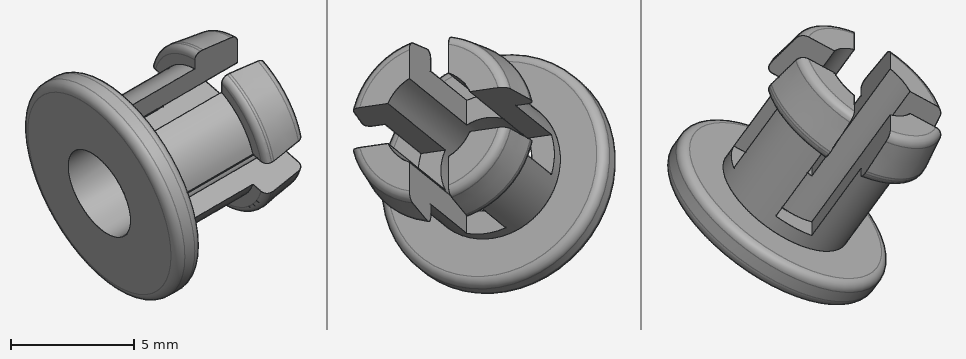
import cadquery as cq

flange_diameter = 10.0
flange_thickness = 1.32
flange_rounding = 0.4
shank_diameter = 6.0
slot_floor = 1.95
bore_diameter = 4.0
total_length = 7.94
head_start = 5.7
head_base_diameter = 7.6
head_taper_start = 6.12
head_tip_diameter = 7.02
head_base_rounding = 0.3
head_tip_rounding = 0.4
slot_width = 1.72


def cylinder(diameter, start, end):
    """Solid cylinder on the Y axis between two Y positions."""
    plane = cq.Workplane("XZ", origin=(0, start, 0))
    return plane.circle(diameter / 2).extrude(start - end)


def make_flange():
    flange = cylinder(flange_diameter, 0, flange_thickness)
    return flange.edges().fillet(flange_rounding)


def make_head():
    """Barbed head with a short straight land, then a taper to the tip; both rims are rounded."""
    head = (
        cq.Workplane("XY")
        .moveTo(0, head_start)
        .lineTo(head_base_diameter / 2, head_start)
        .lineTo(head_base_diameter / 2, head_taper_start)
        .lineTo(head_tip_diameter / 2, total_length)
        .lineTo(0, total_length)
        .close()
        .revolve(360, (0, 0, 0), (0, 1, 0))
    )
    head = head.faces("<Y").edges().fillet(head_base_rounding)
    return head.faces(">Y").edges().fillet(head_tip_rounding)


def make_slots():
    """Two crossed slots that split the shank and head into four prongs."""
    slot_length = total_length - slot_floor
    slot_middle = (total_length + slot_floor) / 2
    slot = cq.Workplane("XY").box(flange_diameter, slot_length, slot_width)
    slot = slot.translate((0, slot_middle, 0))
    return slot.union(slot.rotate((0, 0, 0), (0, 1, 0), 90))


body = make_flange()
body = body.union(cylinder(shank_diameter, 0, total_length))
body = body.union(make_head())
bore = cylinder(bore_diameter, 0, total_length)
result = body.cut(bore).cut(make_slots())